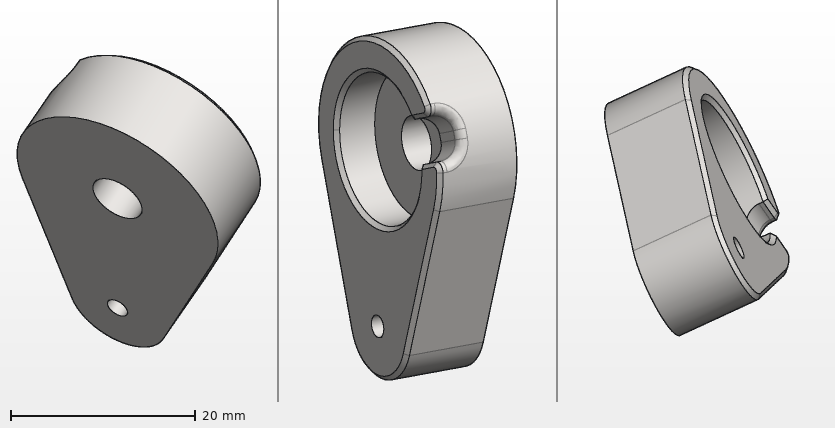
import cadquery as cq
import math

thickness = 10.0
big_radius = 12.5
small_radius = 6.0
center_distance = 20.0
shaft_hole_diameter = 6.1
pin_hole_diameter = 2.5

rim_width = 4.0
recess_radius = big_radius - rim_width
recess_depth = 5.0
rim_chamfer = 0.5

notch_angle = 20.0
notch_width = 5.0
notch_depth = 3.0
notch_corner_radius = 2.0
notch_mouth_fillet = 1.0

overshoot = 2.0

tolerance = 0.001


def teardrop_plate():
    """Two round ends joined by their common tangents, extruded along +Y."""
    sine = (big_radius - small_radius) / center_distance
    cosine = math.sqrt(1 - sine**2)
    big_x = big_radius * cosine
    big_z = -big_radius * sine
    small_x = small_radius * cosine
    small_z = -center_distance - small_radius * sine
    return (
        cq.Workplane("XZ")
        .moveTo(big_x, big_z)
        .threePointArc((0, big_radius), (-big_x, big_z))
        .lineTo(-small_x, small_z)
        .threePointArc((0, -center_distance - small_radius), (small_x, small_z))
        .close()
        .extrude(-thickness)
    )


def cylinder_to_back(radius, depth, z):
    """Cylinder along Y that reaches from the back face to the given depth."""
    return cq.Workplane("XZ", origin=(0, thickness - depth, z)).circle(radius).extrude(-depth)


def notch_cutter():
    """Round-cornered slot, open at the back, running outwards from the big end's axis."""
    return (
        cq.Workplane("XY")
        .box(
            big_radius + overshoot,
            notch_depth + overshoot,
            notch_width,
            centered=(False, False, True),
        )
        .edges("|X and <Y")
        .fillet(notch_corner_radius)
        .rotate((0, 0, 0), (0, 1, 0), 180 + notch_angle)
        .translate((0, thickness - notch_depth, 0))
    )


def is_notch_mouth_edge(edge):
    """True for the edges where the notch breaks through the big end's outer cylinder."""
    middle = edge.positionAt(0.5)
    on_cylinder = abs(math.hypot(middle.x, middle.z) - big_radius) < tolerance
    beside_notch = thickness - notch_depth - tolerance < middle.y < thickness - tolerance
    return on_cylinder and beside_notch


body = teardrop_plate()
body = body.cut(cylinder_to_back(recess_radius, recess_depth, 0))

body = body.cut(notch_cutter())
body = body.edges().filter(is_notch_mouth_edge).fillet(notch_mouth_fillet)

body = body.faces(">Y").edges().chamfer(rim_chamfer)

body = body.cut(cylinder_to_back(shaft_hole_diameter / 2, thickness, 0))
body = body.cut(cylinder_to_back(pin_hole_diameter / 2, thickness, -center_distance))

result = body